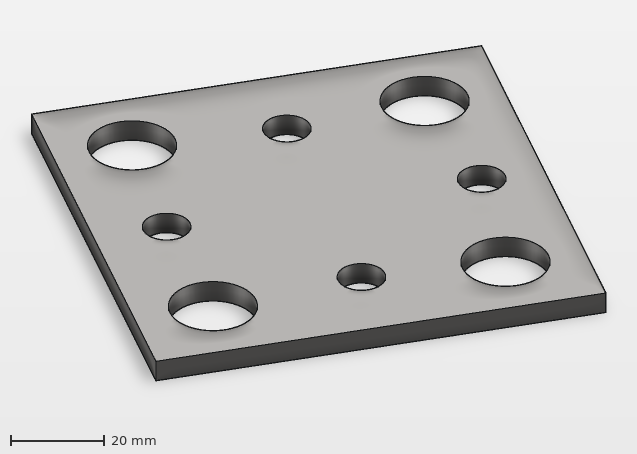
import cadquery as cq

plate_side = 100.0
plate_thickness = 5.0

corner_hole_diameter = 19.1
corner_hole_spacing = 65.0

cross_hole_diameter = 10.4
cross_span_x = 60.0
cross_span_y = 70.0
cross_center_y = 1.2

cross_hole_points = [
    (-cross_span_x / 2, cross_center_y),
    (cross_span_x / 2, cross_center_y),
    (0, cross_center_y - cross_span_y / 2),
    (0, cross_center_y + cross_span_y / 2),
]

plate = cq.Workplane("XY").box(plate_side, plate_side, plate_thickness)

plate = (
    plate.faces(">Z")
    .workplane(origin=(0, 0, 0))
    .rarray(corner_hole_spacing, corner_hole_spacing, 2, 2)
    .hole(corner_hole_diameter)
)

result = (
    plate.faces(">Z")
    .workplane(origin=(0, 0, 0))
    .pushPoints(cross_hole_points)
    .hole(cross_hole_diameter)
)